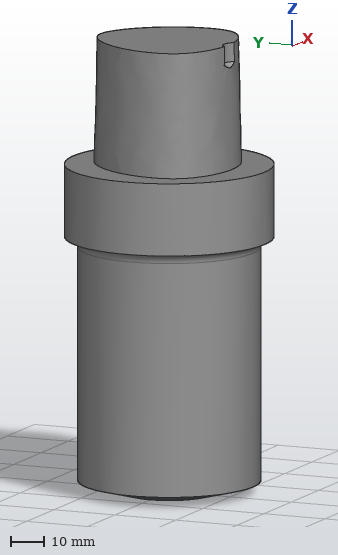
import cadquery as cq
import math

total_height = 138.0
taper_height = 38.0
flange_height = 22.1

flange_radius = 31.5
shaft_radius = 55.0 / 2
fillet_radius = 3.0
bottom_flat_radius = 14.1
bottom_cone_angle = 15.0

shank_base_width = 44.3
taper_ratio = 1 / 20
lobe_eccentricity = 1.4
lobe_count = 3
outline_samples = 48

notch_radius = 4.5
notch_axis_y = -22.5
notch_wall_depth = 5.8
drill_tip_angle = 118.0

flange_top = total_height - taper_height
flange_bottom = flange_top - flange_height
bottom_cone_height = (shaft_radius - bottom_flat_radius) * math.tan(math.radians(bottom_cone_angle))
shank_top_width = shank_base_width - taper_height * taper_ratio


def make_body():
    """Revolve the shaft, the concave fillet above it and the flange about Z."""
    fillet_corner_gap = fillet_radius * (1 - math.sqrt(0.5))
    fillet_middle = (shaft_radius + fillet_corner_gap, flange_bottom - fillet_corner_gap)
    profile = (
        cq.Workplane("XZ")
        .lineTo(bottom_flat_radius, 0)
        .lineTo(shaft_radius, bottom_cone_height)
        .lineTo(shaft_radius, flange_bottom - fillet_radius)
        .threePointArc(fillet_middle, (shaft_radius + fillet_radius, flange_bottom))
        .lineTo(flange_radius, flange_bottom)
        .lineTo(flange_radius, flange_top)
        .lineTo(0, flange_top)
        .close()
    )
    return profile.revolve(360, (0, 0, 0), (0, 1, 0))


def lobe_outline(width):
    """Points of a constant-width outline with one lobe on +Y, starting at -Y."""
    points = []
    for i in range(outline_samples):
        normal_angle = 2 * math.pi * i / outline_samples - math.pi / 2
        lobe_angle = lobe_count * (normal_angle - math.pi / 2)
        support = width / 2 + lobe_eccentricity * math.cos(lobe_angle)
        slope = -lobe_count * lobe_eccentricity * math.sin(lobe_angle)
        x = support * math.cos(normal_angle) - slope * math.sin(normal_angle)
        y = support * math.sin(normal_angle) + slope * math.cos(normal_angle)
        points.append((x, y))
    return points


def make_shank():
    """Loft the lobed outline from the flange to the narrower top."""
    return (
        cq.Workplane("XY", origin=(0, 0, flange_top))
        .spline(lobe_outline(shank_base_width), periodic=True, makeWire=True)
        .workplane(offset=taper_height)
        .spline(lobe_outline(shank_top_width), periodic=True, makeWire=True)
        .loft(ruled=True)
    )


def make_notch_cutter():
    """Vertical drill shape with a conical tip."""
    wall_bottom = total_height - notch_wall_depth
    tip_height = notch_radius / math.tan(math.radians(drill_tip_angle / 2))
    profile = (
        cq.Workplane("XZ", origin=(0, notch_axis_y, 0))
        .moveTo(0, total_height)
        .lineTo(notch_radius, total_height)
        .lineTo(notch_radius, wall_bottom)
        .lineTo(0, wall_bottom - tip_height)
        .close()
    )
    return profile.revolve(360, (0, 0, 0), (0, 1, 0))


result = make_body().union(make_shank()).cut(make_notch_cutter())